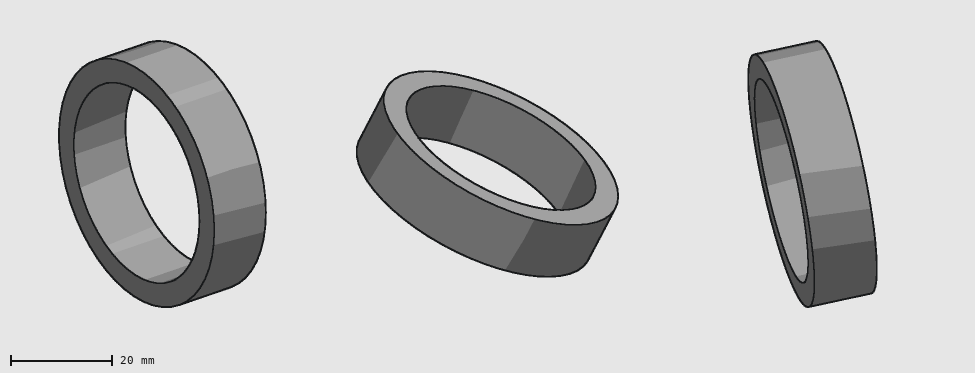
import cadquery as cq

outer_diameter = 50.8
inner_diameter = 41.0
ring_width = 12.7

result = (
    cq.Workplane("XZ", origin=(0, ring_width / 2, 0))
    .circle(outer_diameter / 2)
    .circle(inner_diameter / 2)
    .extrude(ring_width)
)